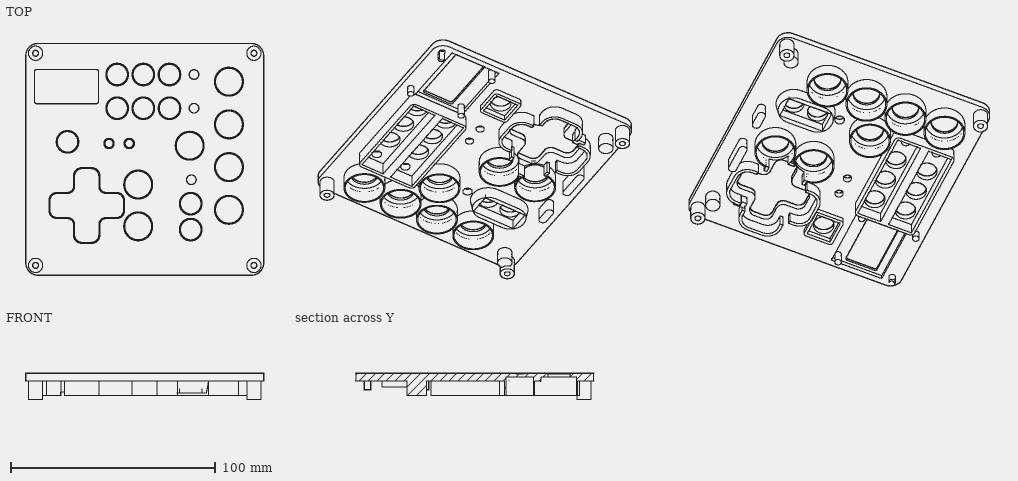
import cadquery as cq


PLATE_X = 116.55
PLATE_Y = 113.53
TOTAL_HEIGHT = 13.0
PLATE_THICKNESS = 4.0
CORNER_RADIUS = 6.0
PLATE_BOTTOM = TOTAL_HEIGHT - PLATE_THICKNESS
GUIDE_BOTTOM = 2.0
WALL = 1.5
HOLE_CHAMFER = 0.55
EDGE_MARGIN = 0.1

POST_INSET = 4.85
POST_DIAMETER = 7.0
SCREW_DIAMETER = 2.8
COUNTERSINK_ANGLE = 90
POST_X = PLATE_X / 2 - POST_INSET
POST_Y = PLATE_Y / 2 - POST_INSET
SCREWS = [(sx * POST_X, sy * POST_Y) for sx in (-1, 1) for sy in (-1, 1)]
DISPLAY_CORNER = (-POST_X, POST_Y)
POSTS = [point for point in SCREWS if point != DISPLAY_CORNER]

WINDOW_CENTER = (-38.3, 35.6)
WINDOW_X = 31.3
WINDOW_Y = 16.6
WINDOW_RADIUS = 1.0
WINDOW_LIP = 1.5
RECESS_CENTER = (-38.5, 34.0)
RECESS_X = 33.8
RECESS_Y = 27.0
PEG_DIAMETER = 3.2
PEG_BOTTOM = 4.8
PEG_X = (-52.5, -24.1)
PEG_Y = (22.8, 51.8)

LARGE_HOLE = 13.1
TUBE_OUTER = 20.0
TUBE_INNER = 18.8
TUBE_ROOF = 2.0
LARGE_COLUMN_X = 41.2
LARGE_COLUMN_TOP_Y = 38.0
LARGE_COLUMN_PITCH = 20.9
LARGE_COLUMN = [(LARGE_COLUMN_X, LARGE_COLUMN_TOP_Y - i * LARGE_COLUMN_PITCH) for i in range(4)]
LARGE_BUTTONS = LARGE_COLUMN + [(22.0, 6.65), (-3.2, -12.35), (-3.2, -32.8)]

SMALL_HOLE = 10.0
SIX_CENTER = (-0.7, 33.25)
BLOCK_CENTER = (4.0, SIX_CENTER[1])
BLOCK_PITCH_X = 12.8
BLOCK_PITCH_Y = 16.5
BLOCK_X = 51.0
BLOCK_Y = 31.7
BLOCK_RADIUS = 2.3
BLOCK_ROW_WIDTH = BLOCK_Y - BLOCK_PITCH_Y - 2 * WALL
SIX_BUTTONS = [
    (SIX_CENTER[0] + i * BLOCK_PITCH_X, SIX_CENTER[1] + j * BLOCK_PITCH_Y / 2)
    for i in (-1, 0, 1) for j in (-1, 1)
]
SINGLE_BUTTON = (-37.8, 8.55)
SINGLE_SIZE = 15.2
SINGLE_RADIUS = 1.5
SINGLE_BOTTOM = 6.1
PAIR_CENTER = (22.5, -28.05)
PAIR_PITCH = 12.7
PAIR_WIDTH = 17.4
PAIR_TAPER = 10
PAIR_BOTTOM = 3.3
PAIR_POCKET_X = 11.0
PAIR_POCKET_Y = 22.8
PAIR_BUTTONS = [(PAIR_CENTER[0], PAIR_CENTER[1] + s * PAIR_PITCH / 2) for s in (-1, 1)]

PLAIN_LED_DIAMETER = 4.6
PLAIN_LEDS = [(24.1, 41.5), (24.1, 25.0), (22.8, -10.0)]
CHAMFERED_LED_DIAMETER = 4.0
CHAMFERED_LEDS = [(-17.5, 7.75), (-7.6, 7.75)]

PAD_CENTER = (-28.4, -22.6)
PAD_REACH = 18.0
PAD_HALF_WIDTH = 5.9
PAD_RADIUS = 3.5
PAD_HOUSING_REACH = 22.7
PAD_HOUSING_HALF_WIDTH = 10.9
PAD_HOUSING_RADIUS = 7.1
PAD_INNER_CORNER = 2.5
PAD_GAP = 26.0

BOSS_DIAMETER = 7.0
BOSSES = [(-44.5, -47.9), (49.3, -47.9)]
RIB_CENTER = (-39.5, -35.5)
RIB_X = 3.0
RIB_Y = 5.8
RIB_BOTTOM = 3.7
FRONT_BLOCK_Y = -48.0
FRONT_BLOCK_DEPTH = 4.0
FRONT_BLOCK_RADIUS = 1.9
FRONT_BLOCK_SPANS = [(-22.4, -6.3), (6.1, 16.0)]


def cylinders(points, diameter, bottom, top):
    """Upright cylinders of one diameter at every point."""
    base = cq.Workplane("XY", origin=(0, 0, bottom))
    return base.pushPoints(points).circle(diameter / 2).extrude(top - bottom)


def rounded_box(center, size_x, size_y, radius, bottom, top):
    """Upright box with rounded vertical edges."""
    base = cq.Workplane("XY", origin=(*center, bottom))
    return base.rect(size_x, size_y).extrude(top - bottom).edges("|Z").fillet(radius)


def cross(reach, half_width, end_radius, inner_radius, bottom, top):
    """Plus-shaped prism with rounded arm ends and rounded inner corners."""
    bar_x = rounded_box(PAD_CENTER, 2 * reach, 2 * half_width, end_radius, bottom, top)
    bar_y = rounded_box(PAD_CENTER, 2 * half_width, 2 * reach, end_radius, bottom, top)
    return bar_x.union(bar_y).edges(pad_box(half_width + EDGE_MARGIN)).edges("|Z").fillet(inner_radius)


def pad_box(half_size):
    """Selects what is centred within a square column around the direction pad."""
    x, y = PAD_CENTER
    return cq.selectors.BoxSelector(
        (x - half_size, y - half_size, 0),
        (x + half_size, y + half_size, TOTAL_HEIGHT + EDGE_MARGIN),
    )


def make_plate():
    """Plate with rounded corners and the chamfered direction pad opening."""
    plate = rounded_box((0, 0), PLATE_X, PLATE_Y, CORNER_RADIUS, PLATE_BOTTOM, TOTAL_HEIGHT)
    opening = cross(PAD_REACH, PAD_HALF_WIDTH, PAD_RADIUS, PAD_RADIUS, PLATE_BOTTOM, TOTAL_HEIGHT)
    plate = plate.cut(opening)
    return plate.faces(">Z").edges(pad_box(PAD_REACH + EDGE_MARGIN)).chamfer(HOLE_CHAMFER)


def pair_housing():
    """Long round-ended housing that tapers towards its lower end."""
    return (
        cq.Workplane("XY", origin=(*PAIR_CENTER, PLATE_BOTTOM))
        .slot2D(PAIR_PITCH + PAIR_WIDTH, PAIR_WIDTH, 90)
        .extrude(PAIR_BOTTOM - PLATE_BOTTOM, taper=PAIR_TAPER)
    )


def pair_pocket():
    """Straight-sided pocket inside the housing of the button pair."""
    return (
        cq.Workplane("XY", origin=(*PAIR_CENTER, PAIR_BOTTOM))
        .rect(PAIR_POCKET_X, PAIR_POCKET_Y)
        .extrude(PLATE_BOTTOM - PAIR_BOTTOM)
    )


def make_housings():
    """Outer shapes of everything that guides a button, all below the plate."""
    housings = cylinders(LARGE_BUTTONS, TUBE_OUTER, GUIDE_BOTTOM, PLATE_BOTTOM)
    housings = housings.union(
        rounded_box(BLOCK_CENTER, BLOCK_X, BLOCK_Y, BLOCK_RADIUS, GUIDE_BOTTOM, PLATE_BOTTOM)
    )
    housings = housings.union(
        rounded_box(SINGLE_BUTTON, SINGLE_SIZE, SINGLE_SIZE, SINGLE_RADIUS, SINGLE_BOTTOM, PLATE_BOTTOM)
    )
    housings = housings.union(
        cross(
            PAD_HOUSING_REACH, PAD_HOUSING_HALF_WIDTH, PAD_HOUSING_RADIUS, PAD_INNER_CORNER,
            GUIDE_BOTTOM, PLATE_BOTTOM,
        )
    )
    return housings.union(pair_housing())


def make_cavities():
    """Hollow insides of the housings and the display recess, all open downwards."""
    cavities = cylinders(LARGE_BUTTONS, TUBE_INNER, GUIDE_BOTTOM, TOTAL_HEIGHT - TUBE_ROOF)
    for side in (-1, 1):
        row_y = BLOCK_CENTER[1] + side * BLOCK_PITCH_Y / 2
        row = cq.Workplane("XY", origin=(BLOCK_CENTER[0], row_y, GUIDE_BOTTOM))
        row = row.rect(BLOCK_X - 2 * WALL, BLOCK_ROW_WIDTH).extrude(PLATE_BOTTOM - GUIDE_BOTTOM)
        cavities = cavities.union(row)
    single_pocket = SINGLE_SIZE - 2 * WALL
    single_inner = cq.Workplane("XY", origin=(*SINGLE_BUTTON, SINGLE_BOTTOM))
    cavities = cavities.union(
        single_inner.rect(single_pocket, single_pocket).extrude(PLATE_BOTTOM - SINGLE_BOTTOM)
    )
    cavities = cavities.union(
        cross(
            PAD_HOUSING_REACH - WALL, PAD_HOUSING_HALF_WIDTH - WALL, PAD_HOUSING_RADIUS - WALL,
            PAD_INNER_CORNER + WALL, GUIDE_BOTTOM, PLATE_BOTTOM,
        )
    )
    pad_gap = cq.Workplane("XY", origin=(*PAD_CENTER, GUIDE_BOTTOM))
    cavities = cavities.union(pad_gap.rect(PAD_GAP, PAD_GAP).extrude(PLATE_BOTTOM - GUIDE_BOTTOM))
    recess = cq.Workplane("XY", origin=(*RECESS_CENTER, PLATE_BOTTOM))
    cavities = cavities.union(recess.rect(RECESS_X, RECESS_Y).extrude(PLATE_THICKNESS - WINDOW_LIP))
    return cavities.union(pair_pocket())


def make_supports():
    """Corner posts, display pegs, bosses and the small blocks along the lower side."""
    supports = cylinders(POSTS, POST_DIAMETER, 0, PLATE_BOTTOM)
    pegs = [(x, y) for x in PEG_X for y in PEG_Y]
    supports = supports.union(cylinders(pegs, PEG_DIAMETER, PEG_BOTTOM, TOTAL_HEIGHT - WINDOW_LIP))
    supports = supports.union(cylinders(BOSSES, BOSS_DIAMETER, GUIDE_BOTTOM, PLATE_BOTTOM))
    for start, end in FRONT_BLOCK_SPANS:
        center = ((start + end) / 2, FRONT_BLOCK_Y)
        length = end - start
        block = rounded_box(
            center, length, FRONT_BLOCK_DEPTH, FRONT_BLOCK_RADIUS, GUIDE_BOTTOM, PLATE_BOTTOM
        )
        supports = supports.union(block)
    return supports


def make_rib():
    """Short rib in the inner corner of the direction pad housing."""
    rib = cq.Workplane("XY", origin=(*RIB_CENTER, RIB_BOTTOM))
    return rib.rect(RIB_X, RIB_Y).extrude(PLATE_BOTTOM - RIB_BOTTOM)


def countersunk(body, points, diameter, top_diameter):
    """Cut through holes with a 90 degree countersink at the top face."""
    top = cq.Workplane("XY", origin=(0, 0, TOTAL_HEIGHT)).add(body)
    return top.pushPoints(points).cskHole(diameter, top_diameter, COUNTERSINK_ANGLE)


def cut_openings(body):
    """Display window, indicator holes, button holes and screw holes."""
    body = body.cut(
        rounded_box(WINDOW_CENTER, WINDOW_X, WINDOW_Y, WINDOW_RADIUS, PLATE_BOTTOM, TOTAL_HEIGHT)
    )
    body = body.cut(cylinders(PLAIN_LEDS, PLAIN_LED_DIAMETER, 0, TOTAL_HEIGHT))
    chamfered = [
        (LARGE_BUTTONS, LARGE_HOLE),
        (SIX_BUTTONS + [SINGLE_BUTTON] + PAIR_BUTTONS, SMALL_HOLE),
        (CHAMFERED_LEDS, CHAMFERED_LED_DIAMETER),
    ]
    for points, diameter in chamfered:
        body = countersunk(body, points, diameter, diameter + 2 * HOLE_CHAMFER)
    return countersunk(body, SCREWS, SCREW_DIAMETER, POST_DIAMETER)


result = make_plate().union(make_housings()).cut(make_cavities()).union(make_supports()).union(make_rib())
result = cut_openings(result)